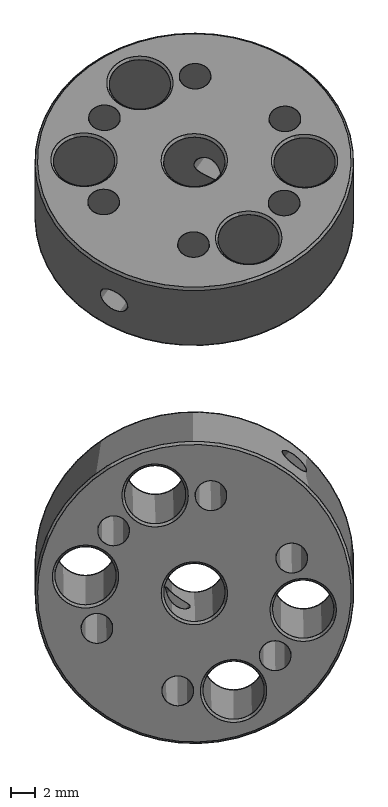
import cadquery as cq

disc_diameter = 26.0
disc_height = 8.0
edge_chamfer = 0.2

bore_diameter = 5.0
bore_circle_radius = 9.0
bore_angles = (30, 150, 210, 330)

small_hole_diameter = 2.57
small_hole_circle_radius = 8.5
small_hole_count = 6


def make_disc():
    """Disc standing on Z = 0 with both rims chamfered."""
    disc = cq.Workplane("XY").circle(disc_diameter / 2).extrude(disc_height)
    return disc.faces("<Z or >Z").edges().chamfer(edge_chamfer)


def make_bore_cutter():
    """Centred bore that widens at both faces to form the mouth chamfers."""
    radius = bore_diameter / 2
    mouth_radius = radius + edge_chamfer
    profile = [
        (0, 0),
        (mouth_radius, 0),
        (radius, edge_chamfer),
        (radius, disc_height - edge_chamfer),
        (mouth_radius, disc_height),
        (0, disc_height),
    ]
    return cq.Workplane("XZ").polyline(profile).close().revolve(360, (0, 0), (0, 1))


def cut_bores(body):
    """One central bore and four around it."""
    cutter = make_bore_cutter()
    body = body.cut(cutter)
    for angle in bore_angles:
        placed = cutter.translate((bore_circle_radius, 0, 0))
        body = body.cut(placed.rotate((0, 0, 0), (0, 0, 1), angle))
    return body


def cut_small_holes(body):
    """Ring of plain through holes, the first on the X axis."""
    holes = (
        cq.Workplane("XY")
        .polarArray(small_hole_circle_radius, 0, 360, small_hole_count)
        .circle(small_hole_diameter / 2)
        .extrude(disc_height)
    )
    return body.cut(holes)


def cut_cross_hole(body):
    """Hole along Y at mid-height, right through the disc and the central bore."""
    hole = (
        cq.Workplane("XZ")
        .center(0, disc_height / 2)
        .circle(small_hole_diameter / 2)
        .extrude(disc_diameter / 2, both=True)
    )
    return body.cut(hole)


result = cut_cross_hole(cut_small_holes(cut_bores(make_disc())))